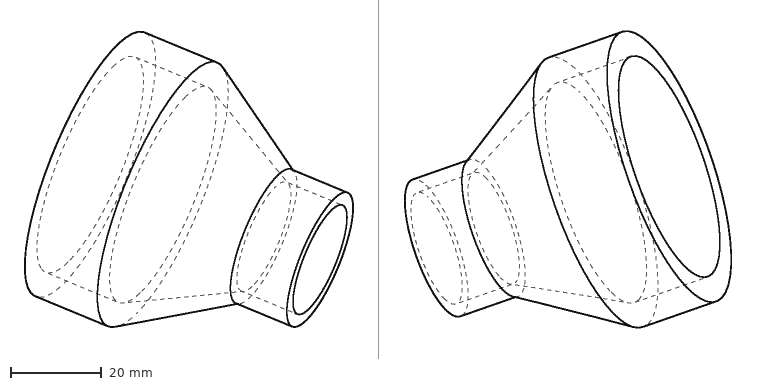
import cadquery as cq

wide_outer_diameter = 63.0
wide_bore_diameter = 51.4
narrow_outer_diameter = 32.0
narrow_bore_diameter = 26.0

overall_length = 57.0
wide_length = 18.0
narrow_length = 14.0
cone_end = overall_length - narrow_length


def reducer_solid(wide_diameter, narrow_diameter):
    """Solid of revolution: wide cylinder, cone, narrow cylinder."""
    wide_radius = wide_diameter / 2
    narrow_radius = narrow_diameter / 2
    return (
        cq.Workplane("XY")
        .moveTo(0, 0)
        .lineTo(0, wide_radius)
        .lineTo(wide_length, wide_radius)
        .lineTo(cone_end, narrow_radius)
        .lineTo(overall_length, narrow_radius)
        .lineTo(overall_length, 0)
        .close()
        .revolve(360, (0, 0, 0), (1, 0, 0))
    )


body = reducer_solid(wide_outer_diameter, narrow_outer_diameter)
bore = reducer_solid(wide_bore_diameter, narrow_bore_diameter)

result = body.cut(bore)